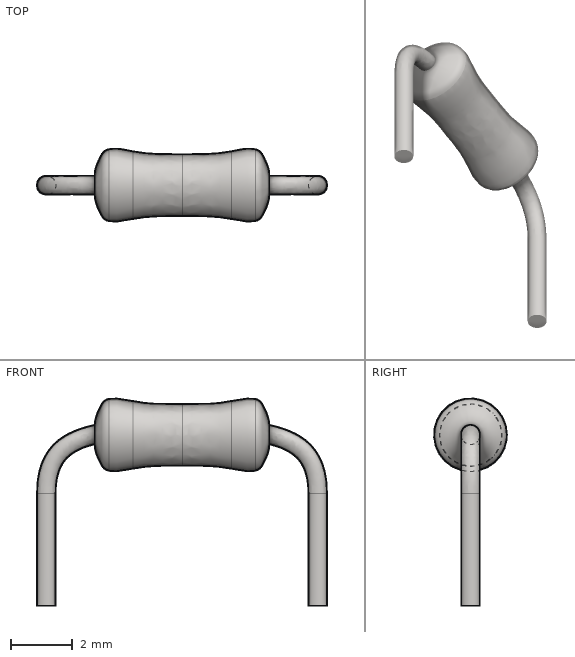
import cadquery as cq

overall_length = 9.39
overall_height = 6.71

body_diameter = 2.37
waist_radius = 1.005
body_half_length = 2.83
end_face_radius = 0.32
shoulder_x, shoulder_radius = 2.67, 0.86
rim_x, rim_radius = 2.37, 1.16
rim_slope = -0.2
crown_x = 2.13
neck_x, neck_radius = 1.6, 1.1
neck_slope = 0.2
flare_x, flare_radius = 1.13, 1.03

wire_diameter = 0.61
bend_start_drop = 1.9
bend_middle_inset = 0.45
bend_middle_drop = 0.535
lead_end_inset = 1.74
lead_end_rise = 0.05
lead_end_slope = 0.2

crown_radius = body_diameter / 2
leg_x = (overall_length - wire_diameter) / 2
leg_bottom_z = crown_radius - overall_height


def make_body():
    """Dumbbell-shaped body: one half revolved, then mirrored about mid-length."""
    half = (
        cq.Workplane("XY")
        .moveTo(0, 0)
        .lineTo(0, waist_radius)
        .spline(
            [(flare_x, flare_radius), (neck_x, neck_radius)],
            tangents=[(1, 0), (1, neck_slope)],
            includeCurrent=True,
        )
        .spline(
            [(crown_x, crown_radius), (rim_x, rim_radius)],
            tangents=[(1, neck_slope), (1, rim_slope)],
            includeCurrent=True,
        )
        .spline(
            [(shoulder_x, shoulder_radius), (body_half_length, end_face_radius)],
            tangents=[(1, rim_slope), (0, -1)],
            includeCurrent=True,
        )
        .lineTo(body_half_length, 0)
        .close()
        .revolve(360, (0, 0, 0), (1, 0, 0))
    )
    return half.union(half.mirror("YZ"))


def make_lead():
    """Round wire on the +X side: straight leg, then a bend into the body end."""
    path = (
        cq.Workplane("XZ")
        .moveTo(leg_x, leg_bottom_z)
        .lineTo(leg_x, -bend_start_drop)
        .spline(
            [
                (leg_x - bend_middle_inset, -bend_middle_drop),
                (leg_x - lead_end_inset, lead_end_rise),
            ],
            tangents=[(0, 1), (-1, lead_end_slope)],
            includeCurrent=True,
        )
    )
    section = cq.Workplane("XY", origin=(leg_x, 0, leg_bottom_z)).circle(wire_diameter / 2)
    return section.sweep(path)


lead = make_lead()
result = make_body().union(lead).union(lead.mirror("YZ"))